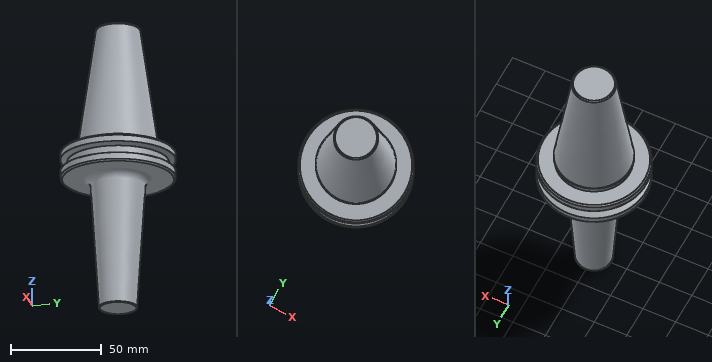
import cadquery as cq
import math

total_length = 162.5
taper_length = 68.4
taper_large_radius = 22.3
taper_radius_slope = 3.5 / 24
taper_tip_chamfer = 0.8

relief_radius = 21.8
relief_length = 3.2

flange_radius = 31.77
flange_bottom = -19.0
flange_chamfer = 1.0

groove_floor_radius = 28.1
groove_center = -11.0
groove_mouth_width = 6.7
groove_floor_width = 3.9

nose_top_radius = 15.1
nose_end_radius = 10.5
nose_end_chamfer = 0.5
fillet_height = 4.7

flange_top = -relief_length
taper_tip_radius = taper_large_radius - taper_length * taper_radius_slope
nose_end = taper_length - total_length
nose_top = flange_bottom - fillet_height


def nose_fillet():
    """Middle and outer end of the arc tangent to the nose cone and the flange underside."""
    cone_angle = math.atan((nose_top_radius - nose_end_radius) / (nose_top - nose_end))
    radius = fillet_height / (1 + math.sin(cone_angle))
    center_r = nose_top_radius + radius * math.cos(cone_angle)
    center_z = flange_bottom - radius
    start_angle = math.pi + cone_angle
    middle_angle = (start_angle + math.pi / 2) / 2
    middle = (center_r + radius * math.cos(middle_angle), center_z + radius * math.sin(middle_angle))
    return middle, (center_r, flange_bottom)


def holder_profile():
    """Half section from the axis, nose end first; X is the radius and Y is the height."""
    fillet_middle, fillet_end = nose_fillet()
    nose = (
        cq.Workplane("XZ")
        .moveTo(0, nose_end)
        .lineTo(nose_end_radius - nose_end_chamfer, nose_end)
        .lineTo(nose_end_radius, nose_end + nose_end_chamfer)
        .lineTo(nose_top_radius, nose_top)
        .threePointArc(fillet_middle, fillet_end)
    )
    flange = (
        nose.lineTo(flange_radius - flange_chamfer, flange_bottom)
        .lineTo(flange_radius, flange_bottom + flange_chamfer)
        .lineTo(flange_radius, groove_center - groove_mouth_width / 2)
        .lineTo(groove_floor_radius, groove_center - groove_floor_width / 2)
        .lineTo(groove_floor_radius, groove_center + groove_floor_width / 2)
        .lineTo(flange_radius, groove_center + groove_mouth_width / 2)
        .lineTo(flange_radius, flange_top - flange_chamfer)
        .lineTo(flange_radius - flange_chamfer, flange_top)
    )
    return (
        flange.lineTo(relief_radius, flange_top)
        .lineTo(relief_radius, 0)
        .lineTo(taper_large_radius, 0)
        .lineTo(taper_tip_radius, taper_length - taper_tip_chamfer)
        .lineTo(taper_tip_radius - taper_tip_chamfer, taper_length)
        .lineTo(0, taper_length)
        .close()
    )


result = holder_profile().revolve(360, (0, 0, 0), (0, 1, 0))